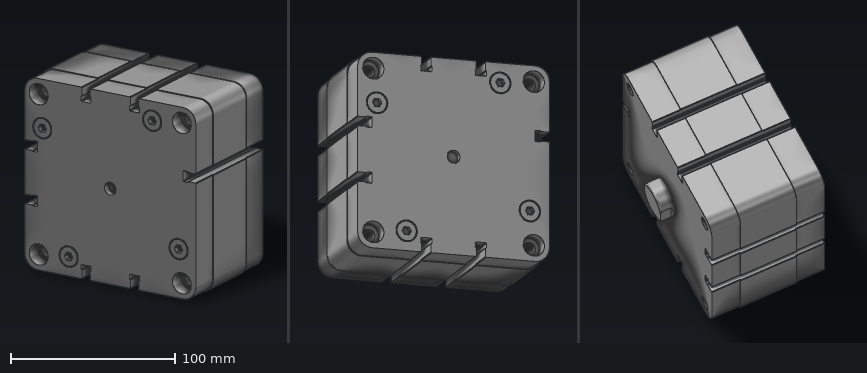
import cadquery as cq
import math

BAND_SIDE = 124.0
CAP_SIDE = 123.0
CORNER_RADIUS = 9.3
BODY_LENGTH = 76.5
CAP_LENGTH = 19.2
BAND_LENGTH = BODY_LENGTH - 2 * CAP_LENGTH

SECTIONS = [
    (CAP_SIDE, 0, CAP_LENGTH),
    (BAND_SIDE, CAP_LENGTH, BAND_LENGTH),
    (CAP_SIDE, CAP_LENGTH + BAND_LENGTH, CAP_LENGTH),
]

SLOT_OFFSET = 17.5
SLOT_DEPTH = 9.7
SLOT_MOUTH_WIDTH = 6.0
SLOT_MOUTH_DEPTH = 6.1
SLOT_INNER_WIDTH = 7.0
SLOT_LIP_CHAMFER = 0.4

SLOTS = [(turn, side * SLOT_OFFSET) for turn in (0, 180, -90) for side in (-1, 1)]
SLOTS.append((90, -SLOT_OFFSET))

MOUNT_OFFSET = 51.5
MOUNT_HOLE_DIAMETER = 8.4
MOUNT_COUNTERBORE_DIAMETER = 13.5
MOUNT_COUNTERBORE_DEPTH = CAP_LENGTH / 2

SCREW_LONG_OFFSET = 49.0
SCREW_SHORT_OFFSET = 30.0
SCREW_SEAT_DIAMETER = 13.5
SCREW_HEAD_DIAMETER = 12.5
SCREW_GAP_DEPTH = 1.2
SOCKET_ACROSS_FLATS = 5.0
SOCKET_DEPTH = 3.7

CENTER_HOLE_DIAMETER = 8.0
CENTER_HOLE_DEPTH = 4.5

ROD_DIAMETER = 25.0
ROD_LENGTH = 10.0
TIP_ROUND_LENGTH = 1.9
TIP_ROUND_INSET = 1.1
FLAT_SPACING = 22.0
FLAT_LENGTH = 7.1


def front_plane(start=0):
    """Workplane across Y at Y = start; negative extrusions run towards +Y."""
    return cq.Workplane("XZ", origin=(0, start, 0))


def drill(points, diameter, depth):
    """Round cutters from the front face."""
    return front_plane().pushPoints(points).circle(diameter / 2).extrude(-depth)


def make_block():
    block = cq.Workplane()
    for side, start, length in SECTIONS:
        section = front_plane(start).rect(side, side).extrude(-length)
        block = block.union(section.edges("|Y").fillet(CORNER_RADIUS))
    return block


def slot_section(side, start, length):
    """Slot through the top of one block section, centred on X = 0."""
    surface = side / 2
    ledge = BAND_SIDE / 2 - SLOT_MOUTH_DEPTH
    floor = BAND_SIDE / 2 - SLOT_DEPTH
    mouth = SLOT_MOUTH_WIDTH / 2
    inner = SLOT_INNER_WIDTH / 2
    bevel = inner - mouth
    right_edge = [
        (mouth + SLOT_LIP_CHAMFER, surface),
        (mouth, surface - SLOT_LIP_CHAMFER),
        (mouth, ledge),
        (inner, ledge - bevel),
        (inner, floor + bevel),
        (inner - bevel, floor),
    ]
    left_edge = [(-x, z) for x, z in reversed(right_edge)]
    return front_plane(start).polyline(right_edge + left_edge).close().extrude(-length)


def cut_slots(body):
    for turn, offset in SLOTS:
        for section in SECTIONS:
            slot = slot_section(*section).translate((offset, 0, 0))
            body = body.cut(slot.rotate((0, 0, 0), (0, 1, 0), turn))
    return body


def cut_mount_holes(body):
    points = [(x * MOUNT_OFFSET, z * MOUNT_OFFSET) for x in (-1, 1) for z in (-1, 1)]
    body = body.cut(drill(points, MOUNT_HOLE_DIAMETER, BODY_LENGTH))
    return body.cut(drill(points, MOUNT_COUNTERBORE_DIAMETER, MOUNT_COUNTERBORE_DEPTH))


def cut_screw_details(body):
    """Ring gaps and hexagon sockets of four screws, each a quarter turn from the last."""
    long, short = SCREW_LONG_OFFSET, SCREW_SHORT_OFFSET
    points = [(-long, short), (short, long), (long, -short), (-short, -long)]
    seats = drill(points, SCREW_SEAT_DIAMETER, SCREW_GAP_DEPTH)
    heads = drill(points, SCREW_HEAD_DIAMETER, SCREW_GAP_DEPTH)
    across_corners = SOCKET_ACROSS_FLATS / math.cos(math.pi / 6)
    sockets = front_plane().pushPoints(points).polygon(6, across_corners).extrude(-SOCKET_DEPTH)
    return body.cut(seats.cut(heads)).cut(sockets)


def make_rod_end():
    radius = ROD_DIAMETER / 2
    tip = BODY_LENGTH + ROD_LENGTH
    rod = (
        cq.Workplane("XY")
        .moveTo(0, BODY_LENGTH)
        .lineTo(radius, BODY_LENGTH)
        .lineTo(radius, tip - TIP_ROUND_LENGTH)
        .tangentArcPoint((radius - TIP_ROUND_INSET, tip), relative=False)
        .lineTo(0, tip)
        .close()
        .revolve(360, (0, 0, 0), (0, 1, 0))
    )

    flat = FLAT_SPACING / 2
    flat_end = tip - FLAT_LENGTH
    runout_end = flat_end - (radius - flat)
    flat_cutter = (
        cq.Workplane("XY")
        .polyline([(flat, tip), (flat, flat_end), (radius, runout_end), (radius, tip)])
        .close()
        .extrude(radius, both=True)
    )
    return rod.cut(flat_cutter).cut(flat_cutter.mirror("YZ"))


body = cut_slots(make_block())
body = cut_mount_holes(body)
body = cut_screw_details(body)
body = body.cut(drill([(0, 0)], CENTER_HOLE_DIAMETER, CENTER_HOLE_DEPTH))
result = body.union(make_rod_end())